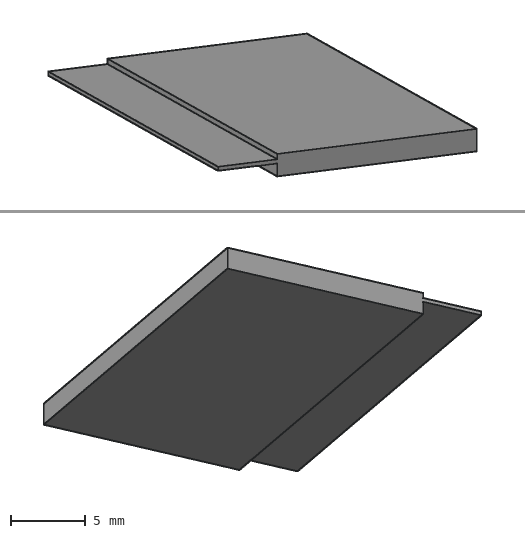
import cadquery as cq

width = 26.65
total_depth = 19.2
body_height = 1.57

tab_length = 4.4
tab_thickness = 0.3
tab_drop = 0.37

body_depth = total_depth - tab_length
tab_top = body_height - tab_drop
tab_bottom = tab_top - tab_thickness

profile = [
    (0, tab_bottom),
    (tab_length, tab_bottom),
    (tab_length, 0),
    (tab_length + body_depth, 0),
    (tab_length + body_depth, body_height),
    (tab_length, body_height),
    (tab_length, tab_top),
    (0, tab_top),
]

result = cq.Workplane("YZ").polyline(profile).close().extrude(width)